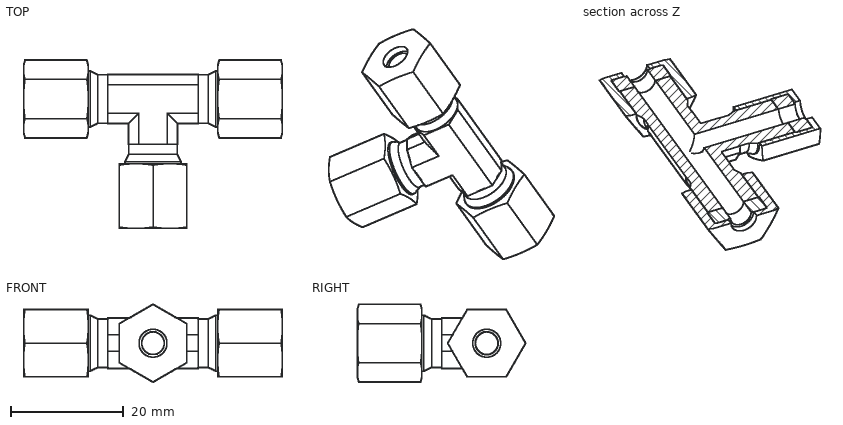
import cadquery as cq
import math

arm_reach = 23.0
tube_bore_radius = 2.0

block_reach = 8.0
block_half_width = 4.35
block_half_height = 4.5
block_flat_half_width = 2.55
block_flat_half_height = 1.45

neck_radius = 4.32
thread_radius = 5.0
cone_start = 9.8
cone_end = 11.2

hex_sides = 6
nut_across_flats = 12.0
nut_length = 11.5
nut_hole_radius = 2.5
nut_end_wall = 1.25
nut_chamfer_angle = 15.0
nut_flat_radius = nut_across_flats / 2
nut_corner_radius = nut_flat_radius / math.cos(math.pi / hex_sides)
nut_chamfer_length = (nut_corner_radius - nut_flat_radius) * math.tan(math.radians(nut_chamfer_angle))
nut_inner_face = arm_reach - nut_length

ring_length = 3.2
ring_outer_end = arm_reach - nut_end_wall
spigot_end = ring_outer_end - ring_length

branch_turn = -90
branch_nut_roll = 90
arm_turns = (0, 180, branch_turn)


def turned_arm(arm, turn):
    """Turn an arm modelled along +X about the Z axis."""
    return arm.rotate((0, 0, 0), (0, 0, 1), turn)


def cylinder_along_x(radius, start, end):
    return cq.Workplane("YZ", origin=(start, 0, 0)).circle(radius).extrude(end - start)


def block_bar(start, end):
    """Eight-sided bar along X."""
    quarter = [(block_half_width, block_flat_half_height), (block_flat_half_width, block_half_height)]
    upper = quarter + [(-y, z) for y, z in reversed(quarter)]
    lower = [(-y, -z) for y, z in upper]
    return cq.Workplane("YZ", origin=(start, 0, 0)).polyline(upper + lower).close().extrude(end - start)


def make_spigot():
    """Neck, flare and threaded end, turned about X."""
    profile = [
        (block_reach, 0),
        (block_reach, neck_radius),
        (cone_start, neck_radius),
        (cone_end, thread_radius),
        (spigot_end, thread_radius),
        (spigot_end, 0),
    ]
    return cq.Workplane("XY").polyline(profile).close().revolve(360, (0, 0, 0), (1, 0, 0))


def make_tee_body():
    body = block_bar(-block_reach, block_reach).union(turned_arm(block_bar(0, block_reach), branch_turn))
    for turn in arm_turns:
        body = body.union(turned_arm(make_spigot(), turn))
    for turn in arm_turns:
        body = body.cut(turned_arm(cylinder_along_x(tube_bore_radius, 0, spigot_end), turn))
    return body


def make_nut():
    """Nut on the +X arm, corners towards +Y and -Y, chamfered at both ends."""
    hexagon = (
        cq.Workplane("YZ", origin=(nut_inner_face, 0, 0))
        .polygon(hex_sides, 2 * nut_corner_radius)
        .extrude(nut_length)
    )
    chamfer_envelope = (
        cq.Workplane("XY")
        .polyline([
            (nut_inner_face, 0),
            (nut_inner_face, nut_flat_radius),
            (nut_inner_face + nut_chamfer_length, nut_corner_radius),
            (arm_reach - nut_chamfer_length, nut_corner_radius),
            (arm_reach, nut_flat_radius),
            (arm_reach, 0),
        ])
        .close()
        .revolve(360, (0, 0, 0), (1, 0, 0))
    )
    threaded_hole = cylinder_along_x(thread_radius, nut_inner_face, ring_outer_end)
    tube_hole = cylinder_along_x(nut_hole_radius, ring_outer_end, arm_reach)
    return hexagon.intersect(chamfer_envelope).cut(threaded_hole).cut(tube_hole)


def make_ring():
    ring = cylinder_along_x(thread_radius, spigot_end, ring_outer_end)
    return ring.cut(cylinder_along_x(tube_bore_radius, spigot_end, ring_outer_end))


tee_body = make_tee_body()
nuts = []
rings = []
for turn in arm_turns:
    nut = make_nut()
    if turn == branch_turn:
        nut = nut.rotate((0, 0, 0), (1, 0, 0), branch_nut_roll)
    nuts.append(turned_arm(nut, turn))
    rings.append(turned_arm(make_ring(), turn))

result = cq.Compound.makeCompound(
    [tee_body.val()] + [nut.val() for nut in nuts] + [ring.val() for ring in rings]
)